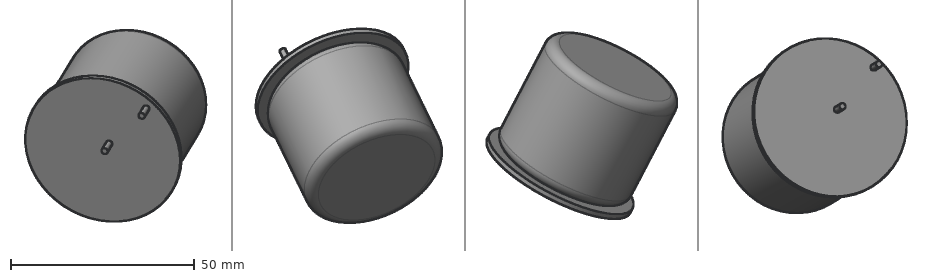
import cadquery as cq

can_diameter = 40.0
can_length = 33.4
rim_radius = 3.0

flange_diameter = 44.0
flange_thickness = 1.6

pin_diameter = 1.75
pin_length = 4.55
pin_positions = [(1.9, 2.3), (12.4, 14.8)]


def cylinder_along_y(diameter, y_start, length, x=0.0, z=0.0):
    """Solid cylinder that starts at y_start and runs toward +Y."""
    base = cq.Workplane(cq.Plane(origin=(x, y_start, z), xDir=(1, 0, 0), normal=(0, 1, 0)))
    return base.circle(diameter / 2).extrude(length)


def make_housing():
    """Can and flange as one solid; the flange's outer face lies at Y = 0."""
    can = cylinder_along_y(can_diameter, flange_thickness, can_length)
    can = can.edges("%CIRCLE").fillet(rim_radius)
    flange = cylinder_along_y(flange_diameter, 0.0, flange_thickness)
    return flange.union(can)


def make_pin(x, z):
    """Pin whose +Y end rests on the flange's outer face."""
    return cylinder_along_y(pin_diameter, -pin_length, pin_length, x, z)


housing = make_housing()
pins = [make_pin(x, z) for x, z in pin_positions]

result = cq.Compound.makeCompound([housing.val(), *[pin.val() for pin in pins]])